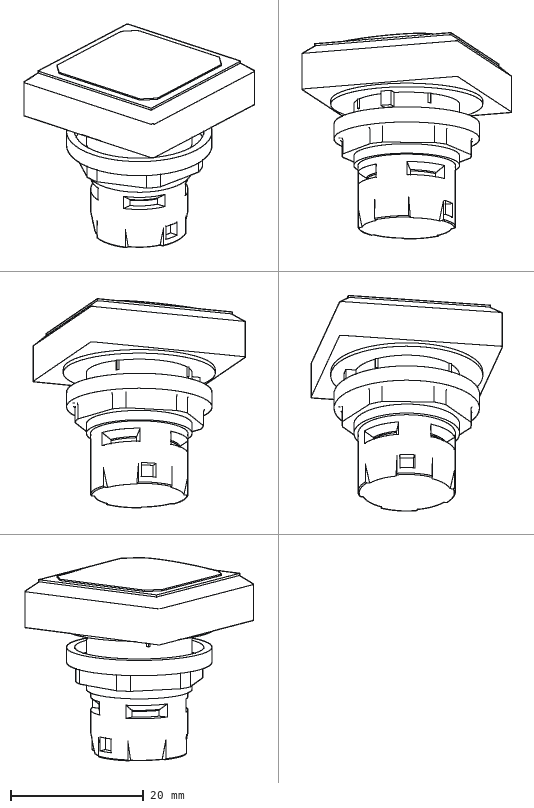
import cadquery as cq
import math


body_top = 9.7
nut_bottom = 11.17
ring_bottom = 13.84
ring_floor = 14.33
ring_top = 16.18
plate_bottom = 19.2
cap_bottom = 19.75
cap_slope_start = 25.27
cap_slope_end = 26.7
cap_top = 27.03
dome_edge = 27.23
total_height = 29.25

ring_bore_diameter = 19.5
pocket_floor_diameter = 12.1
body_diameter = 14.7
neck_diameter = 16.0
ring_diameter = 22.0
plate_diameter = 23.0
body_edge_chamfer = 0.18

nut_flats = 17.87
nut_corner_diameter = 19.5
nut_turn = -9.0
nut_root_fillet = 0.53

cap_side = 25.0
cap_top_side = 21.82
cap_corner_fillet = 0.35

lens_side = 19.3
lens_corner_chamfer = 1.85
lens_facet_inset = 4.53

core_side = 11.67
core_bottom = 17.73
tab_bottom = 16.96
tab_width = 1.58
tab_reach = 9.48

window_bottom = 6.55
window_top = 8.57
window_lip = 7.6
window_lip_bottom = 7.43
window_lip_depth = 0.1
window_wall_offset = 2.45
notch_top = 3.07
notch_floor_radius = 6.75
notch_wall_offset = 2.7
wall_slope = 0.05

side_hole_bottom = 1.05
side_hole_top = 3.2
side_hole_near = 0.05
side_hole_far = 2.28

body_radius = body_diameter / 2

cutter_overrun = 0.3
pick_margin = 0.03
clear_radius = body_radius + cutter_overrun


def disc(diameter, bottom, top):
    return cq.Workplane("XY").workplane(offset=bottom).circle(diameter / 2).extrude(top - bottom)


def square(side, bottom, top):
    return cq.Workplane("XY").workplane(offset=bottom).rect(side, side).extrude(top - bottom)


def ring_with_nut():
    """Flange ring, recessed on top, with a round-cornered hexagon blended into its underside."""
    hexagon = (
        cq.Workplane("XY")
        .workplane(offset=nut_bottom)
        .polygon(6, nut_flats, circumscribed=True)
        .extrude(ring_bottom - nut_bottom)
        .rotate((0, 0, 0), (0, 0, 1), nut_turn)
    )
    nut = hexagon.intersect(disc(nut_corner_diameter, nut_bottom, ring_bottom))
    joined = disc(ring_diameter, ring_bottom, ring_top).union(nut)
    reach = nut_corner_diameter / 2 + pick_margin
    root = cq.selectors.BoxSelector(
        (-reach, -reach, ring_bottom - pick_margin),
        (reach, reach, ring_bottom + pick_margin),
        boundingbox=True,
    )
    blended = joined.edges(root).fillet(nut_root_fillet)
    return blended.cut(disc(ring_bore_diameter, ring_floor, ring_top))


def cap():
    """Square cap with sloped shoulders and rounded vertical corners."""
    half = cap_side / 2
    half_top = cap_top_side / 2
    profile = [
        (-half, cap_bottom),
        (half, cap_bottom),
        (half, cap_slope_start),
        (half_top, cap_slope_end),
        (half_top, cap_top),
        (-half_top, cap_top),
        (-half_top, cap_slope_end),
        (-half, cap_slope_start),
    ]
    along_y = cq.Workplane("XZ").polyline(profile).close().extrude(half, both=True)
    along_x = cq.Workplane("YZ").polyline(profile).close().extrude(half, both=True)
    corners = cq.selectors.BoxSelector(
        (-cap_side, -cap_side, cap_bottom + pick_margin),
        (cap_side, cap_side, cap_slope_end - pick_margin),
    )
    sharp = along_y.intersect(along_x)
    side_edges = sharp.edges(corners).edges("not(#Z)")
    return side_edges.fillet(cap_corner_fillet)


def lens():
    """Spherical dome over a chamfered square, flattened by four sloping facets."""
    half = lens_side / 2
    rise = total_height - dome_edge
    vertex_radius = math.hypot(half, half - lens_corner_chamfer)
    sphere_radius = (vertex_radius**2 + rise**2) / (2 * rise)
    sphere_center = total_height - sphere_radius
    block = square(lens_side, cap_top, total_height).edges("|Z").chamfer(lens_corner_chamfer)
    sphere = cq.Workplane("XY").sphere(sphere_radius).translate((0, 0, sphere_center))

    facet_inner = half - lens_facet_inset
    facet_top = sphere_center + math.sqrt(sphere_radius**2 - facet_inner**2)
    slope = (facet_top - dome_edge) / lens_facet_inset
    peak = dome_edge + slope * half
    profile = [(-half, cap_top), (half, cap_top), (half, dome_edge), (0, peak), (-half, dome_edge)]
    along_y = cq.Workplane("XZ").polyline(profile).close().extrude(half, both=True)
    along_x = cq.Workplane("YZ").polyline(profile).close().extrude(half, both=True)
    return block.intersect(sphere).intersect(along_y).intersect(along_x)


def diagonal_cuts(profile, wall_offset):
    """Revolve a radius-height profile and keep it only in four diagonal sectors.

    Each sector has two walls that lean inward from the X and Y directions by wall_slope.
    The wall offset is measured from the center planes, one body radius out from the axis.
    """
    swept = cq.Workplane("XZ").polyline(profile).close().revolve(360, (0, 0, 0), (0, 1, 0))
    apex = (wall_offset + wall_slope * body_radius) / (1 + wall_slope)
    near = wall_offset - wall_slope * cutter_overrun
    outline = [(apex, apex), (clear_radius, near), (clear_radius, clear_radius), (near, clear_radius)]
    sector = cq.Workplane("XY").polyline(outline).close().extrude(body_top)
    cuts = cq.Workplane("XY")
    for turn in range(0, 360, 90):
        cuts = cuts.add(swept.intersect(sector.rotate((0, 0, 0), (0, 0, 1), turn)))
    return cuts.combine()


def windows():
    floor_radius = pocket_floor_diameter / 2
    overhang_slope = (window_top - window_lip) / (body_radius - floor_radius - window_lip_depth)
    profile = [
        (floor_radius, window_bottom),
        (clear_radius, window_bottom),
        (clear_radius, window_top + overhang_slope * cutter_overrun),
        (floor_radius + window_lip_depth, window_lip),
        (floor_radius, window_lip_bottom),
    ]
    return diagonal_cuts(profile, window_wall_offset)


def notches():
    profile = [
        (notch_floor_radius, 0),
        (clear_radius, 0),
        (clear_radius, notch_top),
        (body_radius, notch_top),
    ]
    return diagonal_cuts(profile, notch_wall_offset)


def side_hole():
    """Square hole entering from the -X side, just off the center plane, with a round floor."""
    square_hole = (
        cq.Workplane("XY")
        .box(
            clear_radius,
            side_hole_far - side_hole_near,
            side_hole_top - side_hole_bottom,
            centered=False,
        )
        .translate((-clear_radius, side_hole_near, side_hole_bottom))
    )
    return square_hole.cut(disc(pocket_floor_diameter, 0, body_top))


body = disc(body_diameter, 0, body_top).faces("<Z").chamfer(body_edge_chamfer)
body = body.cut(windows()).cut(notches())
for turn in (0, 180):
    body = body.cut(side_hole().rotate((0, 0, 0), (0, 0, 1), turn))

tab = (
    cq.Workplane("XY")
    .workplane(offset=tab_bottom)
    .center(0, tab_reach / 2)
    .rect(tab_width, tab_reach)
    .extrude(plate_bottom - tab_bottom)
)

result = (
    body.union(ring_with_nut())
    .union(disc(neck_diameter, body_top, plate_bottom))
    .union(square(core_side, core_bottom, plate_bottom))
    .union(tab)
    .union(disc(plate_diameter, plate_bottom, cap_bottom))
    .union(cap())
    .union(lens())
)